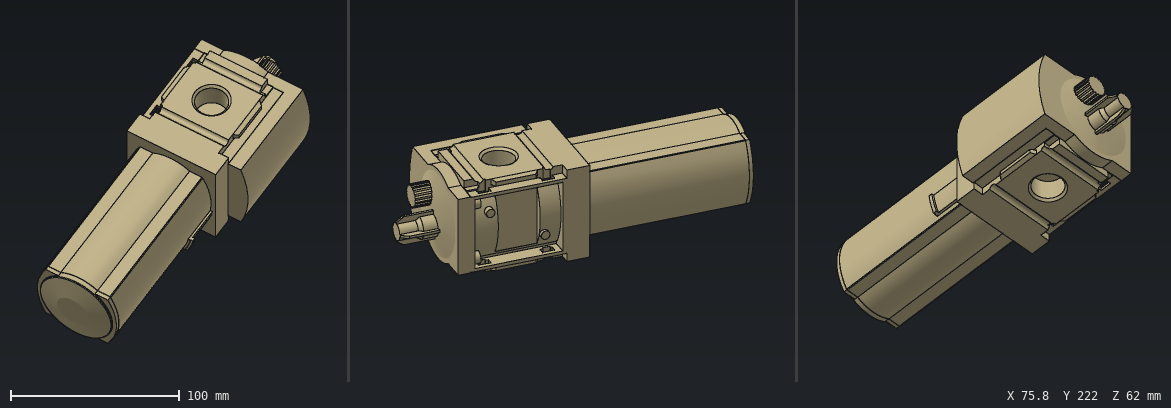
import cadquery as cq

BODY_SIZE = 62.0
HALF_BODY = BODY_SIZE / 2
TOTAL_LENGTH = 222.0

KNOB_TOP_Y = 65.7
BOWL_END_Y = KNOB_TOP_Y - TOTAL_LENGTH
BODY_TOP_Y = 38.8
COLLAR_TOP_Y = -30.9
BODY_BOTTOM_Y = -45.6

HOUSING_HALF_Z = 25.7
STRIP_HALF_Z = 25.4
CAP_RADIUS = 30.0
CAP_DOME_RADIUS = 26.8
CAP_DOME_HEIGHT = 3.4

BLOCK_HALF_X = 24.0
BLOCK_TOP_Y = 30.6
GROOVE_YS = (21.9, -22.3)
GROOVE_WIDTH = 5.2
GROOVE_DEPTH = 2.1
RAIL_HALF_X = 20.0
TAB_Z = 26.3
PORT_DIAMETER = 20.2
PORT_MOUTH_DIAMETER = 23.3
PORT_DEPTH = 16.0
FLANK_PANEL_HALF_X = 27.0
FLANK_PANEL_HALF_Y = 15.0
FLANK_PANEL_BEVEL_Y = 2.2
FLANK_PANEL_BOTTOM_Z = 27.2
FLANK_PANEL_EDGE_Z = 30.0

OPENING_YS = (20.4, -20.5)
OPENING_LENGTH = 7.8
OPENING_OUTER_X = -27.9
NOTCH_X = -22.7
NOTCH_YS = (20.7, -21.0)
NOTCH_LENGTH = 4.8

COVER_BOTTOM_Y = -31.5
COVER_EDGE_X = 39.8
COVER_CROWN_X = 44.8

RECESS_TOP_Y = 27.9
RECESS_BOTTOM_Y = -28.3
RECESS_HALF_Z = 23.2
RECESS_FLOOR_X = -21.0
CROWN_X = -28.2
CROWN_RADIUS = 39.0
CROWN_HALF_Z = 21.0
WINDOW_TOP_Y = 11.9
WINDOW_BOTTOM_Y = -15.0
WINDOW_HALF_Z = 19.1
WINDOW_FLOOR_X = -23.0
PIN_DIAMETER = 5.5
PIN_TIP_X = -29.5
PIN_CENTRES = ((17.3, 11.0), (-17.9, -11.1))
LUG_RADIUS = 4.0
LUG_LENGTH = 4.2
LUG_X = -26.0
LUG_Z = 18.7

BOWL_RADIUS = 50.4 / 2
BOWL_BARREL_END_Y = -153.3
BOWL_RIM_STEP = 0.6
BOWL_TIP_RADIUS = 10.9
LOBE_HALF_X = 27.8
LOBE_HALF_Z = 21.7
LOBE_RADIUS = 42.0
LOBE_CENTRE_X = LOBE_HALF_X - LOBE_RADIUS
LOBE_CORNER_CHAMFER = 0.4
BAND_TOP_Y = -149.3
BAND_INSET = 0.2
LOBE_END_Y = -152.0

LATCH_THICKNESS = 1.5
LATCH_BUMP_HEIGHT = 3.1
LATCH_TOP_Z = -7.1
LATCH_BOTTOM_Z = -19.2
LATCH_END_Y = -70.4
LATCH_BUMP_LENGTH = 2.4
LATCH_LIP = 0.3

KNOB_Z = -6.1
KNOB_STEM_RADIUS = 5.6
KNOB_BASE_RADIUS = 7.4
KNOB_SHOULDER_Y = 51.1
KNOB_NECK_Y = 53.8
WING_HALF_SPAN = 9.6
WING_THICKNESS = 1.7
WING_BEVEL_SPAN = 2.9
WING_BEVEL_Y = 4.6

SCREW_X = 10.0
SCREW_Z = 10.0
SCREW_RADIUS = 7.3
SCREW_TOP_Y = 52.2
FLUTE_COUNT = 18
FLUTE_RADIUS = 0.7


def block(x0, x1, y0, y1, z0, z1):
    """Box between two opposite corners."""
    return cq.Workplane("XY").box(x1 - x0, y1 - y0, z1 - z0, centered=False).translate((x0, y0, z0))


def along_y(y_start):
    """Sketch plane at y_start with local axes X and Z; extrude(-length) goes towards +Y."""
    return cq.Workplane("XZ", origin=(0, y_start, 0))


def revolve_about_y(profile):
    """Turn a closed (radius, y) profile about the Y axis."""
    return cq.Workplane("XY").polyline(profile).close().revolve(360, (0, 0, 0), (0, 1, 0))


def make_housing():
    collar = block(-HALF_BODY, HALF_BODY, BODY_BOTTOM_Y, COLLAR_TOP_Y, -HALF_BODY, HALF_BODY)
    core = block(-HALF_BODY, HALF_BODY, COLLAR_TOP_Y, BLOCK_TOP_Y, -STRIP_HALF_Z, STRIP_HALF_Z)
    head = block(-HALF_BODY, HALF_BODY, BLOCK_TOP_Y, BODY_TOP_Y, -HOUSING_HALF_Z, HOUSING_HALF_Z)
    cap = along_y(BLOCK_TOP_Y).circle(CAP_RADIUS).extrude(BLOCK_TOP_Y - BODY_TOP_Y)
    dome_radius = (CAP_DOME_RADIUS**2 + CAP_DOME_HEIGHT**2) / (2 * CAP_DOME_HEIGHT)
    dome_top_y = BODY_TOP_Y + CAP_DOME_HEIGHT
    dome = cq.Workplane("XY").sphere(dome_radius).translate((0, dome_top_y - dome_radius, 0))
    dome = dome.intersect(along_y(BODY_TOP_Y).circle(CAP_RADIUS).extrude(-CAP_RADIUS))
    return collar.union(core).union(head).union(cap).union(dome)


def make_flank_panel():
    """Bevelled panel along both flanks of the port block, its top sloping outwards."""
    outline = [
        (BLOCK_HALF_X, FLANK_PANEL_HALF_Y),
        (FLANK_PANEL_HALF_X, FLANK_PANEL_HALF_Y - FLANK_PANEL_BEVEL_Y),
        (FLANK_PANEL_HALF_X, FLANK_PANEL_BEVEL_Y - FLANK_PANEL_HALF_Y),
        (BLOCK_HALF_X, -FLANK_PANEL_HALF_Y),
        (-BLOCK_HALF_X, -FLANK_PANEL_HALF_Y),
        (-FLANK_PANEL_HALF_X, FLANK_PANEL_BEVEL_Y - FLANK_PANEL_HALF_Y),
        (-FLANK_PANEL_HALF_X, FLANK_PANEL_HALF_Y - FLANK_PANEL_BEVEL_Y),
        (-BLOCK_HALF_X, FLANK_PANEL_HALF_Y),
    ]
    section = [
        (-FLANK_PANEL_HALF_X, FLANK_PANEL_BOTTOM_Z),
        (FLANK_PANEL_HALF_X, FLANK_PANEL_BOTTOM_Z),
        (FLANK_PANEL_HALF_X, FLANK_PANEL_EDGE_Z),
        (BLOCK_HALF_X, HALF_BODY),
        (-BLOCK_HALF_X, HALF_BODY),
        (-FLANK_PANEL_HALF_X, FLANK_PANEL_EDGE_Z),
    ]
    plan = cq.Workplane("XY").polyline(outline).close().extrude(HALF_BODY)
    return plan.intersect(cq.Workplane("XZ").polyline(section).close().extrude(FLANK_PANEL_HALF_Y, both=True))


def make_port_block():
    """Port block on the +Z side."""
    part = block(-BLOCK_HALF_X, BLOCK_HALF_X, COLLAR_TOP_Y, BLOCK_TOP_Y, 0, HALF_BODY)
    part = part.union(make_flank_panel())
    for groove_y in GROOVE_YS:
        section = (
            cq.Workplane("YZ")
            .moveTo(groove_y - GROOVE_WIDTH / 2, HALF_BODY)
            .threePointArc((groove_y, HALF_BODY - GROOVE_DEPTH), (groove_y + GROOVE_WIDTH / 2, HALF_BODY))
            .close()
        )
        part = part.cut(section.extrude(BLOCK_HALF_X, both=True))
    for tab_x in (-BLOCK_HALF_X, RAIL_HALF_X):
        tab_width = BLOCK_HALF_X - RAIL_HALF_X
        part = part.cut(block(tab_x, tab_x + tab_width, GROOVE_YS[0], BLOCK_TOP_Y, TAB_Z, HALF_BODY))
    return part


def make_opening_tool():
    """Two openings into the recess, each with a notch up the port block, on the +Z side."""
    tool = cq.Workplane("XY")
    for opening_y, notch_y in zip(OPENING_YS, NOTCH_YS):
        y0 = opening_y - OPENING_LENGTH / 2
        opening = block(OPENING_OUTER_X, -BLOCK_HALF_X, y0, y0 + OPENING_LENGTH, RECESS_HALF_Z, HALF_BODY)
        y0 = notch_y - NOTCH_LENGTH / 2
        notch = block(-BLOCK_HALF_X, NOTCH_X, y0, y0 + NOTCH_LENGTH, RECESS_HALF_Z, HALF_BODY)
        tool = tool.add(opening).add(notch)
    return tool.combine()


def make_port_tool():
    """Blind port bore with a countersunk mouth, entering from +Z."""
    mouth_depth = (PORT_MOUTH_DIAMETER - PORT_DIAMETER) / 2
    bore = cq.Workplane("XY", origin=(0, 0, HALF_BODY)).circle(PORT_DIAMETER / 2).extrude(-PORT_DEPTH)
    mouth = cq.Workplane("XY", origin=(0, 0, HALF_BODY)).circle(PORT_MOUTH_DIAMETER / 2)
    mouth = mouth.workplane(offset=-mouth_depth).circle(PORT_DIAMETER / 2).loft()
    return bore.union(mouth)


def make_cover():
    section = (
        along_y(COVER_BOTTOM_Y)
        .moveTo(HALF_BODY, -HOUSING_HALF_Z)
        .lineTo(COVER_EDGE_X, -HOUSING_HALF_Z)
        .threePointArc((COVER_CROWN_X, 0), (COVER_EDGE_X, HOUSING_HALF_Z))
        .lineTo(HALF_BODY, HOUSING_HALF_Z)
        .close()
    )
    return section.extrude(COVER_BOTTOM_Y - BODY_TOP_Y)


def make_recess_tool():
    return block(-HALF_BODY, RECESS_FLOOR_X, RECESS_BOTTOM_Y, RECESS_TOP_Y, -RECESS_HALF_Z, RECESS_HALF_Z)


def make_recess_contents():
    length = RECESS_TOP_Y - RECESS_BOTTOM_Y
    panel = along_y(RECESS_BOTTOM_Y).center(CROWN_X + CROWN_RADIUS, 0).circle(CROWN_RADIUS).extrude(-length)
    panel = panel.intersect(
        block(-HALF_BODY, RECESS_FLOOR_X, RECESS_BOTTOM_Y, RECESS_TOP_Y, -CROWN_HALF_Z, CROWN_HALF_Z)
    )
    panel = panel.cut(
        block(-HALF_BODY, WINDOW_FLOOR_X, WINDOW_BOTTOM_Y, WINDOW_TOP_Y, -WINDOW_HALF_Z, WINDOW_HALF_Z)
    )
    for pin_y, pin_z in PIN_CENTRES:
        pin = cq.Workplane("YZ", origin=(PIN_TIP_X, pin_y, pin_z)).circle(PIN_DIAMETER / 2)
        panel = panel.union(pin.extrude(RECESS_FLOOR_X - PIN_TIP_X))
    for side in (-1, 1):
        lug = along_y(RECESS_TOP_Y - LUG_LENGTH).center(LUG_X, side * LUG_Z).circle(LUG_RADIUS)
        panel = panel.union(lug.extrude(-LUG_LENGTH))
    return panel


def make_lobes(y_start, y_end, inset):
    """Flat-topped section with a shallow arc on each X side, shrunk all round by inset."""
    half_z = LOBE_HALF_Z - inset
    lobes = block(-HALF_BODY, HALF_BODY, y_start, y_end, -half_z, half_z)
    for side in (-1, 1):
        centre_x = side * LOBE_CENTRE_X
        disc = along_y(y_start).center(centre_x, 0).circle(LOBE_RADIUS - inset)
        lobes = lobes.intersect(disc.extrude(y_start - y_end))
    return lobes


def make_bowl():
    rim_radius = BOWL_RADIUS - BOWL_RIM_STEP
    barrel = revolve_about_y([
        (0, BODY_BOTTOM_Y),
        (BOWL_RADIUS, BODY_BOTTOM_Y),
        (BOWL_RADIUS, BAND_TOP_Y),
        (BOWL_RADIUS - BAND_INSET, BAND_TOP_Y),
        (BOWL_RADIUS - BAND_INSET, BOWL_BARREL_END_Y + BOWL_RIM_STEP),
        (rim_radius, BOWL_BARREL_END_Y),
        (BOWL_TIP_RADIUS, BOWL_END_Y),
        (0, BOWL_END_Y),
    ])
    sleeve = make_lobes(BAND_TOP_Y, BODY_BOTTOM_Y, 0).edges("|Y").chamfer(LOBE_CORNER_CHAMFER)
    band = make_lobes(LOBE_END_Y, BAND_TOP_Y, BAND_INSET)
    return barrel.union(sleeve).union(band)


def make_latch():
    """Curved latch strip on the +X lobe, ending in a raised bump."""
    def layer(height, y_start, y_end):
        disc = along_y(y_start).center(LOBE_CENTRE_X, 0).circle(LOBE_RADIUS + height)
        disc = disc.extrude(y_start - y_end)
        return disc.intersect(block(0, HALF_BODY, y_start, y_end, LATCH_BOTTOM_Z, LATCH_TOP_Z))

    bump_start_y = LATCH_END_Y + LATCH_LIP
    strip = layer(LATCH_THICKNESS, LATCH_END_Y, BODY_BOTTOM_Y)
    return strip.union(layer(LATCH_BUMP_HEIGHT, bump_start_y, bump_start_y + LATCH_BUMP_LENGTH))


def make_knob():
    knob = revolve_about_y([
        (0, BODY_TOP_Y),
        (KNOB_BASE_RADIUS, BODY_TOP_Y),
        (KNOB_BASE_RADIUS, KNOB_SHOULDER_Y),
        (KNOB_STEM_RADIUS, KNOB_NECK_Y),
        (KNOB_STEM_RADIUS, KNOB_TOP_Y),
        (0, KNOB_TOP_Y),
    ])
    tip_half_span = WING_HALF_SPAN - WING_BEVEL_SPAN
    wing_outline = [
        (-WING_HALF_SPAN, BODY_TOP_Y),
        (WING_HALF_SPAN, BODY_TOP_Y),
        (WING_HALF_SPAN, KNOB_TOP_Y - WING_BEVEL_Y),
        (tip_half_span, KNOB_TOP_Y),
        (-tip_half_span, KNOB_TOP_Y),
        (-WING_HALF_SPAN, KNOB_TOP_Y - WING_BEVEL_Y),
    ]
    wing = cq.Workplane("XY").polyline(wing_outline).close().extrude(WING_THICKNESS / 2, both=True)
    knob = knob.union(wing).union(wing.rotate((0, 0, 0), (0, 1, 0), 90))
    return knob.translate((0, 0, KNOB_Z))


def make_screw():
    length = SCREW_TOP_Y - BODY_TOP_Y
    screw = along_y(BODY_TOP_Y).circle(SCREW_RADIUS).extrude(-length)
    flutes = along_y(BODY_TOP_Y).polarArray(SCREW_RADIUS, 0, 360, FLUTE_COUNT).circle(FLUTE_RADIUS)
    return screw.cut(flutes.extrude(-length)).translate((SCREW_X, 0, SCREW_Z))


port_block = make_port_block()
port_tool = make_port_tool()
opening_tool = make_opening_tool()

result = make_housing().union(port_block).union(port_block.mirror("XY")).union(make_cover())
result = result.cut(port_tool).cut(port_tool.mirror("XY"))
result = result.cut(opening_tool).cut(opening_tool.mirror("XY"))
result = result.cut(make_recess_tool()).union(make_recess_contents())
result = result.union(make_bowl()).union(make_latch())
result = result.union(make_knob()).union(make_screw())